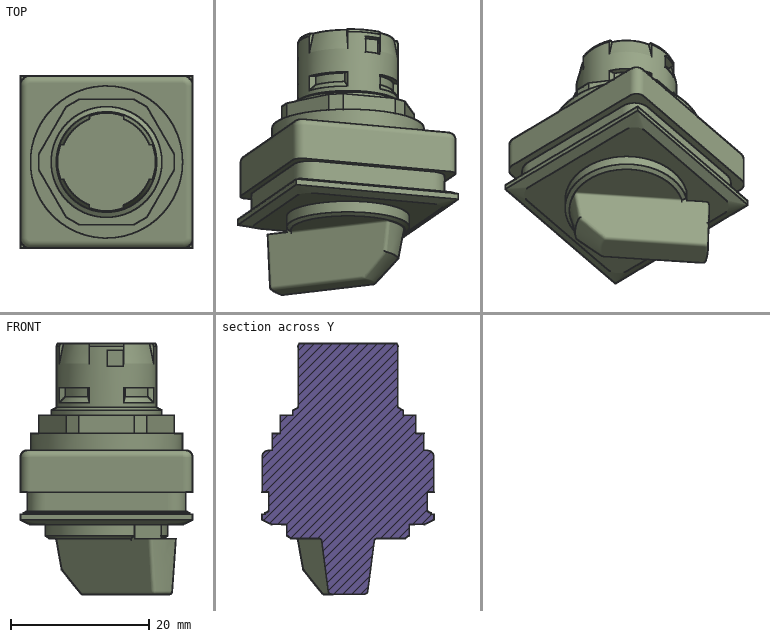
import cadquery as cq
import math


HANDLE_TOP = 8.1
DIAL_TOP = 10.13
BEZEL_TAPER_TOP = 10.78
BEZEL_TOP = 11.6
BEZEL_STEP_TOP = 12.0
GASKET_TOP = 14.8
BODY_TOP = 20.87
FLANGE_TOP = 23.3
NUT_TOP = 25.92
COLLAR_TOP = 27.05
TOTAL_HEIGHT = 36.3

BODY_SIDE = 24.9
BODY_CORNER_RADIUS = 1.38
BODY_TOP_FILLET = 1.0
GASKET_SIDE = 22.95
GASKET_CORNER_RADIUS = 2.58
BEZEL_STEP_SIDE = 24.03
BEZEL_STEP_TOP_SIDE = 23.12
BEZEL_STEP_SLOPE_HEIGHT = 0.2
BEZEL_FACE_SIDE = 22.15
BEZEL_FACE_CORNER_RADIUS = 2.0
BEZEL_EDGE_CORNER_RADIUS = 0.05

FLANGE_DIAMETER = 22.0
NUT_ACROSS_FLATS = 18.08
NUT_ACROSS_CUT_CORNERS = 19.65
COLLAR_DIAMETER = 16.0
COLLAR_CONE_HEIGHT = 0.4
NECK_DIAMETER = 14.52
NECK_TOP_DIAMETER = 14.15
NECK_CHAMFER_HEIGHT = 0.45

LATCH_OFFSET = 2.47
NOTCH_HEIGHT = 2.95
NOTCH_TOP_DIAMETER = 13.35
SLOT_BOTTOM = 27.75
SLOT_TOP = 29.87
SLOT_FLOOR_BOTTOM = 28.6
SLOT_FLOOR_DIAMETER = 13.05
SLOT_FLOOR_OFFSET = 2.7

POCKET_SIDE = 2.32
POCKET_OFFSET = 0.07
POCKET_TOP = 35.3
POCKET_FLOOR_Y = 5.9

DIAL_DIAMETER = 17.75
DIAL_BOTTOM_DIAMETER = 16.5
DIAL_CHAMFER_HEIGHT = 0.45
HANDLE_ANGLE = -45
HANDLE_TOP_WIDTH = 5.48
HANDLE_BOTTOM_WIDTH = 4.0
POINTER_REACH = 8.5
TIP_TOP_RADIUS = 11.98
TIP_BOTTOM_RADIUS = 11.8
HEEL_TOP_RADIUS = 8.2
HEEL_KNEE_RADIUS = 7.4
HEEL_KNEE_HEIGHT = 3.6
HEEL_BOTTOM_RADIUS = 3.78
HANDLE_FILLET = 0.5
ROOT_FILLET = 0.3


def disc(diameter, bottom, top):
    return cq.Workplane("XY").workplane(offset=bottom).circle(diameter / 2).extrude(top - bottom)


def cone(bottom_diameter, top_diameter, bottom, top):
    return (
        cq.Workplane("XY").workplane(offset=bottom).circle(bottom_diameter / 2)
        .workplane(offset=top - bottom).circle(top_diameter / 2).loft(ruled=True)
    )


def square(side, bottom, top):
    return cq.Workplane("XY").workplane(offset=bottom).rect(side, side).extrude(top - bottom)


def rounded_square_sketch(side, radius):
    return cq.Sketch().rect(side, side).vertices().fillet(radius)


def panel_body():
    gasket = square(GASKET_SIDE, BEZEL_STEP_TOP, GASKET_TOP).edges("|Z").fillet(GASKET_CORNER_RADIUS)
    body = square(BODY_SIDE, GASKET_TOP, BODY_TOP).edges("|Z").fillet(BODY_CORNER_RADIUS)
    body = body.faces(">Z").edges().fillet(BODY_TOP_FILLET)
    return gasket.union(body)


def bezel():
    slope_bottom = BEZEL_STEP_TOP - BEZEL_STEP_SLOPE_HEIGHT
    step = square(BEZEL_STEP_SIDE, BEZEL_TOP, slope_bottom)
    slope = (
        cq.Workplane("XY").workplane(offset=slope_bottom).rect(BEZEL_STEP_SIDE, BEZEL_STEP_SIDE)
        .workplane(offset=BEZEL_STEP_SLOPE_HEIGHT).rect(BEZEL_STEP_TOP_SIDE, BEZEL_STEP_TOP_SIDE)
        .loft(ruled=True)
    )
    plate = square(BODY_SIDE, BEZEL_TAPER_TOP, BEZEL_TOP)
    taper = (
        cq.Workplane("XY")
        .placeSketch(
            rounded_square_sketch(BEZEL_FACE_SIDE, BEZEL_FACE_CORNER_RADIUS).moved(
                cq.Location(cq.Vector(0, 0, DIAL_TOP))
            ),
            rounded_square_sketch(BODY_SIDE, BEZEL_EDGE_CORNER_RADIUS).moved(
                cq.Location(cq.Vector(0, 0, BEZEL_TAPER_TOP))
            ),
        )
        .loft(ruled=True)
    )
    return step.union(slope).union(plate).union(taper)


def hexagon_prism(across_flats, first_corner_angle):
    corner_diameter = across_flats / math.cos(math.radians(30))
    return (
        cq.Workplane("XY").workplane(offset=FLANGE_TOP).polygon(6, corner_diameter)
        .extrude(NUT_TOP - FLANGE_TOP)
        .rotate((0, 0, 0), (0, 0, 1), first_corner_angle)
    )


def nut():
    flats = hexagon_prism(NUT_ACROSS_FLATS, 0)
    corner_cuts = hexagon_prism(NUT_ACROSS_CUT_CORNERS, 30)
    return flats.intersect(corner_cuts)


def collar():
    cone_bottom = COLLAR_TOP - COLLAR_CONE_HEIGHT
    rim = disc(COLLAR_DIAMETER, NUT_TOP, cone_bottom)
    return rim.union(cone(COLLAR_DIAMETER, NECK_DIAMETER, cone_bottom, COLLAR_TOP))


def latch_notch():
    """Notch in the +X +Y quadrant, open at the top, with a sloping floor."""
    bottom = TOTAL_HEIGHT - NOTCH_HEIGHT
    quadrant = (
        cq.Workplane("XY").workplane(offset=bottom)
        .rect(NECK_DIAMETER, NECK_DIAMETER, centered=False).extrude(NOTCH_HEIGHT)
        .translate((LATCH_OFFSET, LATCH_OFFSET, 0))
    )
    return quadrant.cut(cone(NECK_DIAMETER, NOTCH_TOP_DIAMETER, bottom, TOTAL_HEIGHT))


def latch_slot():
    """Slot in the +X +Y quadrant with slightly flared sides and a sloping lower face."""
    rim_reach = math.sqrt((NECK_DIAMETER / 2) ** 2 - LATCH_OFFSET ** 2)
    floor_reach = math.sqrt((SLOT_FLOOR_DIAMETER / 2) ** 2 - SLOT_FLOOR_OFFSET ** 2)
    slope = (SLOT_FLOOR_OFFSET - LATCH_OFFSET) / (rim_reach - floor_reach)
    apex = (LATCH_OFFSET + slope * rim_reach) / (1 + slope)
    far = NECK_DIAMETER
    far_offset = LATCH_OFFSET - slope * (far - rim_reach)
    quadrant = (
        cq.Workplane("XY").workplane(offset=SLOT_BOTTOM)
        .polyline([(apex, apex), (far, far_offset), (far, far), (far_offset, far)]).close()
        .extrude(SLOT_TOP - SLOT_BOTTOM)
    )
    lower_face = cone(NECK_DIAMETER, SLOT_FLOOR_DIAMETER, SLOT_BOTTOM, SLOT_FLOOR_BOTTOM)
    floor = disc(SLOT_FLOOR_DIAMETER, SLOT_FLOOR_BOTTOM, SLOT_TOP)
    return quadrant.cut(lower_face).cut(floor)


def side_pocket():
    """Square pocket in the -Y side, beside the centre line."""
    return (
        cq.Workplane("XY").workplane(offset=POCKET_TOP - POCKET_SIDE)
        .rect(POCKET_SIDE, NECK_DIAMETER, centered=False).extrude(POCKET_SIDE)
        .translate((POCKET_OFFSET, -POCKET_FLOOR_Y - NECK_DIAMETER, 0))
    )


def neck():
    chamfer_bottom = TOTAL_HEIGHT - NECK_CHAMFER_HEIGHT
    shape = disc(NECK_DIAMETER, COLLAR_TOP, chamfer_bottom)
    shape = shape.union(cone(NECK_DIAMETER, NECK_TOP_DIAMETER, chamfer_bottom, TOTAL_HEIGHT))
    for angle in (0, 90, 180, 270):
        for cutter in (latch_notch(), latch_slot()):
            shape = shape.cut(cutter.rotate((0, 0, 0), (0, 0, 1), angle))
    for angle in (0, 180):
        shape = shape.cut(side_pocket().rotate((0, 0, 0), (0, 0, 1), angle))
    return shape


def dial():
    """Chamfered disc with a flat-ended pointer block above the handle tip."""
    chamfer_top = HANDLE_TOP + DIAL_CHAMFER_HEIGHT
    shape = disc(DIAL_DIAMETER, chamfer_top, DIAL_TOP)
    shape = shape.union(cone(DIAL_BOTTOM_DIAMETER, DIAL_DIAMETER, HANDLE_TOP, chamfer_top))
    layer = cq.Workplane("XY").workplane(offset=HANDLE_TOP)
    height = DIAL_TOP - HANDLE_TOP
    pointer = layer.center(POINTER_REACH / 2, 0).rect(POINTER_REACH, HANDLE_TOP_WIDTH).extrude(height)
    beyond_center = POINTER_REACH + DIAL_DIAMETER / 2
    beyond_pointer = layer.center(beyond_center, 0).rect(DIAL_DIAMETER, DIAL_DIAMETER).extrude(height)
    return shape.union(pointer).cut(beyond_pointer)


def half_turned(profile):
    """Half of a turned shape on the +X side, from (radius, height) points."""
    return (
        cq.Workplane("XZ").polyline(profile).close()
        .revolve(180, (0, 0, 0), (0, 1, 0))
        .rotate((0, 0, 0), (0, 0, 1), -90)
    )


def handle():
    """Wedge along +X whose tip and heel are turned surfaces about the dial axis."""
    tip = half_turned([(0, 0), (TIP_BOTTOM_RADIUS, 0), (TIP_TOP_RADIUS, HANDLE_TOP), (0, HANDLE_TOP)])
    heel = half_turned([
        (0, 0),
        (HEEL_BOTTOM_RADIUS, 0),
        (HEEL_KNEE_RADIUS, HEEL_KNEE_HEIGHT),
        (HEEL_TOP_RADIUS, HANDLE_TOP),
        (0, HANDLE_TOP),
    ]).rotate((0, 0, 0), (0, 0, 1), 180)
    half_bottom = HANDLE_BOTTOM_WIDTH / 2
    half_top = HANDLE_TOP_WIDTH / 2
    wedge = (
        cq.Workplane("YZ")
        .polyline([(-half_bottom, 0), (half_bottom, 0), (half_top, HANDLE_TOP), (-half_top, HANDLE_TOP)])
        .close().extrude(TIP_TOP_RADIUS, both=True)
    )
    shape = tip.union(heel).intersect(wedge)
    return shape.edges("<Z or (not (%CIRCLE or >Z))").fillet(HANDLE_FILLET)


def handle_root():
    """Handle with a hollow fillet running up to the underside of the dial."""
    ceiling = disc(4 * TIP_TOP_RADIUS, HANDLE_TOP, DIAL_TOP).union(handle())
    reach = TIP_TOP_RADIUS + ROOT_FILLET
    outline = cq.selectors.BoxSelector(
        (-reach, -reach, HANDLE_TOP - ROOT_FILLET / 2),
        (reach, reach, HANDLE_TOP + ROOT_FILLET / 2),
        boundingbox=True,
    )
    flared = ceiling.edges(outline).fillet(ROOT_FILLET)
    return flared.intersect(disc(DIAL_BOTTOM_DIAMETER, 0, HANDLE_TOP))


turning_part = dial().union(handle()).union(handle_root())
turning_part = turning_part.rotate((0, 0, 0), (0, 0, 1), HANDLE_ANGLE)

result = panel_body().union(bezel()).union(turning_part)
result = result.union(disc(FLANGE_DIAMETER, BODY_TOP, FLANGE_TOP))
result = result.union(nut()).union(collar()).union(neck())